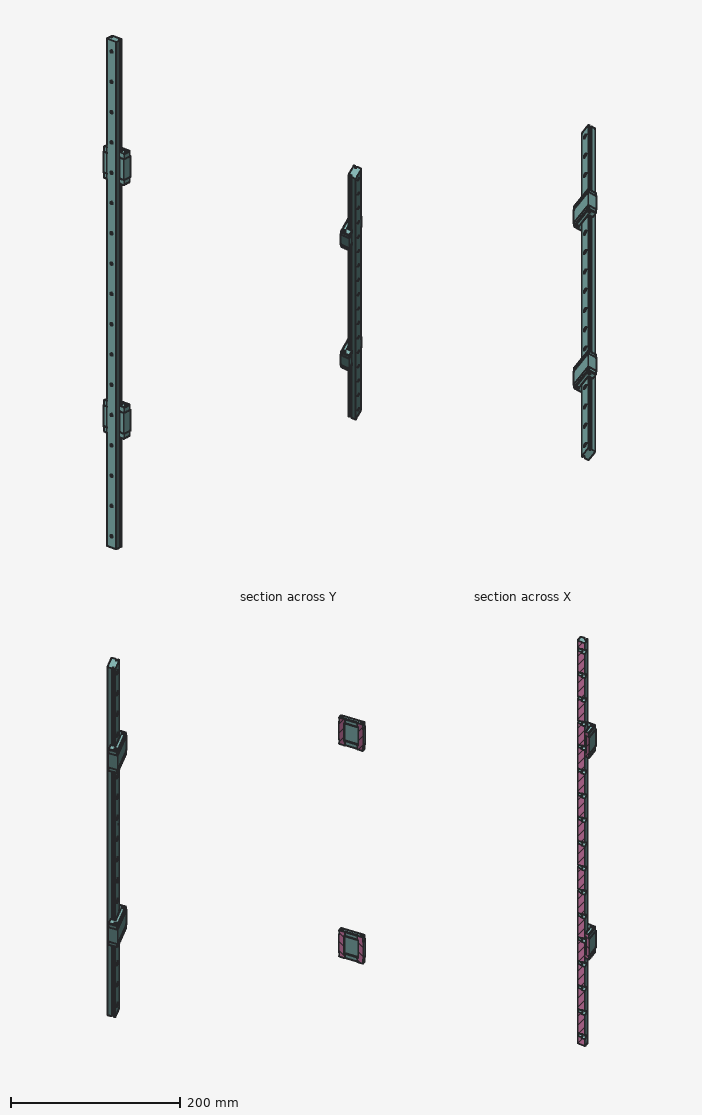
import cadquery as cq

rail_length = 670.0
rail_width = 15.0
rail_height = 10.0
rail_chamfer = 0.5
groove_centre = 7.0
groove_half_height = 1.5
groove_depth = 1.5
relief_half_height = 0.6
relief_depth = 2.0

hole_pitch = 40.0
hole_count = 17
hole_diameter = 3.5
counterbore_diameter = 6.0
counterbore_depth = 4.5

carriage_count = 2
carriage_width = 32.0
carriage_top = 16.0
carriage_length = 42.1
block_bottom = 4.0
block_length = 27.5
block_clearance = 1.7

cap_inset = 0.2
cap_bottom = 4.6
cap_clearance = 0.3
cap_corner_chamfer = 1.0
cap_end_chamfer = 0.9
opening_chamfer = 0.8

screw_hole_diameter = 3.0
screw_hole_depth = 2.0
screw_spacing = 25.0
screw_height = 12.0

carriage_pitch = rail_length / carriage_count


def rail_outline():
    """Rail cross-section: the right half with its relieved V groove, mirrored to the left."""
    half = rail_width / 2
    root = half - groove_depth
    relief = half - relief_depth
    return (
        cq.Workplane("XY")
        .moveTo(0, 0)
        .lineTo(half - rail_chamfer, 0)
        .lineTo(half, rail_chamfer)
        .lineTo(half, groove_centre - groove_half_height)
        .lineTo(root, groove_centre - relief_half_height)
        .lineTo(relief, groove_centre - relief_half_height)
        .lineTo(relief, groove_centre + relief_half_height)
        .lineTo(root, groove_centre + relief_half_height)
        .lineTo(half, groove_centre + groove_half_height)
        .lineTo(half, rail_height - rail_chamfer)
        .lineTo(half - rail_chamfer, rail_height)
        .lineTo(0, rail_height)
        .mirrorY()
    )


def make_rail():
    rail = rail_outline().extrude(rail_length / 2, both=True)
    hole_places = (
        cq.Workplane("XZ", origin=(0, rail_height, 0))
        .rarray(1, hole_pitch, 1, hole_count)
    )
    holes = hole_places.circle(hole_diameter / 2).extrude(rail_height)
    counterbores = hole_places.circle(counterbore_diameter / 2).extrude(counterbore_depth)
    return rail.cut(holes).cut(counterbores).solids()


def box_between(bottom, top, width, length):
    """Box centred on X and Z that reaches from bottom to top along Y."""
    height = top - bottom
    return cq.Workplane("XY").box(width, height, length).translate((0, bottom + height / 2, 0))


def rail_opening(clearance, length):
    """Clearance space around the rail, open towards the mounting face."""
    return box_between(0, rail_height + clearance, rail_width + 2 * clearance, length)


def screw_recesses(end):
    """Pair of recesses in the end face at +Z (end = 1) or -Z (end = -1)."""
    return (
        cq.Workplane("XY", origin=(0, screw_height, end * carriage_length / 2))
        .rarray(screw_spacing, 1, 2, 1)
        .circle(screw_hole_diameter / 2)
        .extrude(-end * screw_hole_depth)
    )


def make_end_caps():
    """Both end caps as one full-length body; the block fills its middle."""
    caps = box_between(cap_bottom, carriage_top - cap_inset, carriage_width - 2 * cap_inset, carriage_length)
    caps = caps.edges("|Z and >Y").chamfer(cap_corner_chamfer)
    caps = caps.faces("<Z or >Z").edges("not <Y").chamfer(cap_end_chamfer)
    caps = caps.cut(rail_opening(cap_clearance, carriage_length))

    reach_x = rail_width / 2 + 2 * cap_clearance
    reach_y = rail_height + 2 * cap_clearance
    opening_rim = cq.selectors.BoxSelector(
        (-reach_x, 0, -carriage_length),
        (reach_x, reach_y, carriage_length),
    )
    caps = caps.faces("<Z or >Z").edges(opening_rim).chamfer(opening_chamfer)

    for end in (-1, 1):
        caps = caps.cut(screw_recesses(end))
    return caps


def make_carriage(z):
    block = box_between(block_bottom, carriage_top, carriage_width, block_length)
    carriage = make_end_caps().union(block).cut(rail_opening(block_clearance, block_length))
    return carriage.translate((0, 0, z)).solids()


rail = make_rail()

carriages = []
for index in range(carriage_count):
    offset = index - (carriage_count - 1) / 2
    carriages.append(make_carriage(offset * carriage_pitch))

result = cq.Compound.makeCompound([rail.val(), *[carriage.val() for carriage in carriages]])